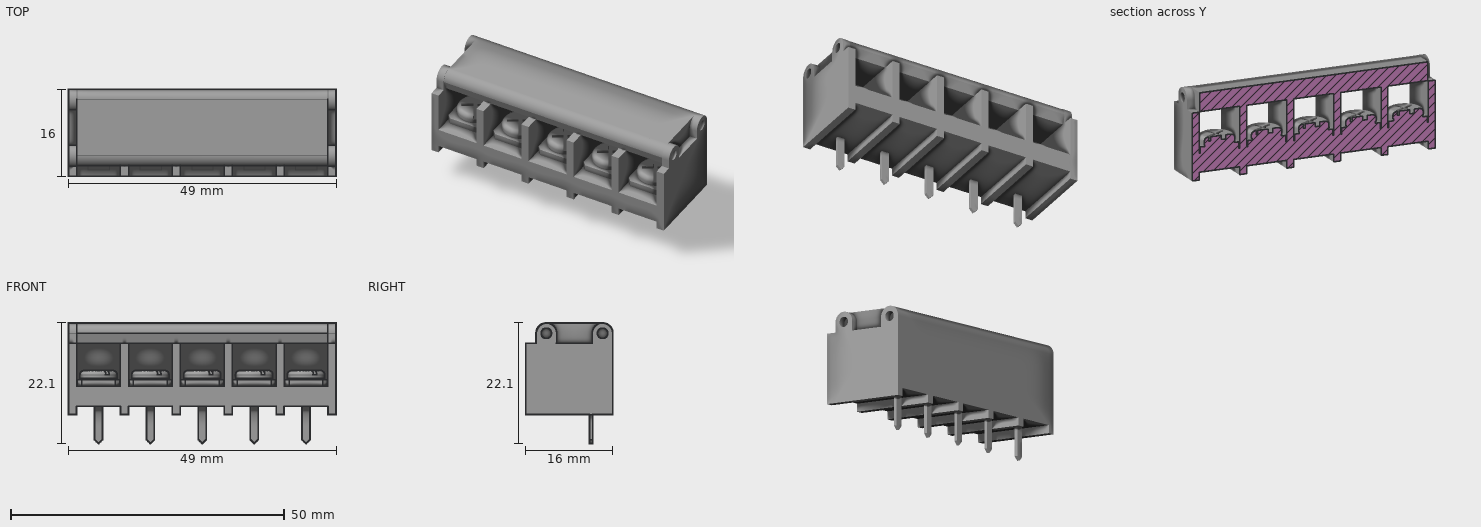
import cadquery as cq
import math


POLE_COUNT = 5
PITCH = 9.5
WALL = 1.5
CELL_WIDTH = PITCH - WALL
LENGTH = POLE_COUNT * PITCH + WALL
POLE_CENTRES = [(i - (POLE_COUNT - 1) / 2) * PITCH for i in range(POLE_COUNT)]

DEPTH = 16.0
HEIGHT = 16.8
FOOT_HEIGHT = 1.5
FLOOR_Z = 5.2
SHOULDER_Z = 13.1
CELL_BACK_Y = 10.5

EAR_RADIUS = 1.9
EAR_HOLE_DIAMETER = 1.9
FRONT_EAR_SETBACK = 1.9
COVER_SETBACK = 2.0
COVER_SLOPE_RUN = 0.65
EAR_CENTRE_Z = HEIGHT - EAR_RADIUS
FRONT_EAR_Y = FRONT_EAR_SETBACK + EAR_RADIUS
BACK_EAR_Y = DEPTH - EAR_RADIUS
COVER_LENGTH = LENGTH - 2 * WALL

PLATE_SIZE = 7.8
PLATE_THICKNESS = 1.2
PLATE_CHAMFER = 0.8
PLATE_TOP_Z = FLOOR_Z + PLATE_THICKNESS
SCREW_Y = CELL_BACK_Y - PLATE_SIZE / 2

HEAD_DIAMETER = 6.84
COLLAR_DIAMETER = 6.6
COLLAR_HEIGHT = 0.25
HEAD_HEIGHT = 1.45
HEAD_FILLET = 0.8
SLOT_WIDTH = 0.7
SLOT_DEPTH = 0.8
CROSS_SLOT_LENGTH = 5.0
SLOT_ANGLE = 29.0

BAR_WIDTH = 3.9
BAR_FRONT_Y = 1.2
BAR_THICKNESS = 1.0

PIN_WIDTH = 1.5
PIN_THICKNESS = 0.6
PIN_DROP = 5.3
PIN_TIP_HEIGHT = PIN_WIDTH / 2
PIN_BACK_OFFSET = 4.0
PIN_Y = DEPTH - PIN_BACK_OFFSET


def box(x_centre, width, y_min, y_max, z_min, z_max):
    """Box centred on x_centre and spanning the given Y and Z ranges."""
    size = (width, y_max - y_min, z_max - z_min)
    return cq.Workplane("XY").box(*size, centered=(True, False, False)).translate((x_centre, y_min, z_min))


def make_base():
    """Housing up to the shoulder, with open cells and feet under the walls."""
    base = box(0, LENGTH, 0, DEPTH, 0, SHOULDER_Z)
    for x in POLE_CENTRES:
        base = base.cut(box(x, CELL_WIDTH, 0, CELL_BACK_Y, FLOOR_Z, SHOULDER_Z))
        base = base.cut(box(x, CELL_WIDTH, 0, DEPTH, 0, FOOT_HEIGHT))
    return base


def make_cover():
    """Cover with rounded top edges and a front face that slopes back below the rounding."""
    corner = EAR_RADIUS * math.sqrt(0.5)
    front_arc_y = COVER_SETBACK + EAR_RADIUS
    return (
        cq.Workplane("YZ", origin=(-COVER_LENGTH / 2, 0, 0))
        .moveTo(DEPTH, SHOULDER_Z)
        .lineTo(DEPTH, EAR_CENTRE_Z)
        .threePointArc((BACK_EAR_Y + corner, EAR_CENTRE_Z + corner), (BACK_EAR_Y, HEIGHT))
        .lineTo(front_arc_y, HEIGHT)
        .threePointArc((front_arc_y - corner, EAR_CENTRE_Z + corner), (COVER_SETBACK, EAR_CENTRE_Z))
        .lineTo(COVER_SETBACK + COVER_SLOPE_RUN, SHOULDER_Z)
        .close()
        .extrude(COVER_LENGTH)
    )


def make_ear(x, y):
    """Round-topped ear with a cross hole, standing on an end wall."""
    post = box(x, WALL, y - EAR_RADIUS, y + EAR_RADIUS, SHOULDER_Z, EAR_CENTRE_Z)
    axis = cq.Workplane("YZ", origin=(x - WALL / 2, y, EAR_CENTRE_Z))
    crown = axis.circle(EAR_RADIUS).extrude(WALL)
    hole = axis.circle(EAR_HOLE_DIAMETER / 2).extrude(WALL)
    return post.union(crown).cut(hole)


def make_plate(x):
    """Square clamping plate with chamfered corners."""
    plate = box(x, PLATE_SIZE, CELL_BACK_Y - PLATE_SIZE, CELL_BACK_Y, FLOOR_Z, PLATE_TOP_Z)
    return plate.edges("|Z").chamfer(PLATE_CHAMFER)


def make_screw(x):
    """Round-rimmed screw head on a narrower collar, with a full slot and a shorter one across it."""
    collar = cq.Workplane("XY").circle(COLLAR_DIAMETER / 2).extrude(COLLAR_HEIGHT)
    head = cq.Workplane("XY").circle(HEAD_DIAMETER / 2).extrude(HEAD_HEIGHT)
    head = head.faces(">Z").edges().fillet(HEAD_FILLET).translate((0, 0, COLLAR_HEIGHT))
    head_top = COLLAR_HEIGHT + HEAD_HEIGHT
    slots = cq.Workplane("XY").box(SLOT_WIDTH, HEAD_DIAMETER, 2 * SLOT_DEPTH)
    slots = slots.union(cq.Workplane("XY").box(CROSS_SLOT_LENGTH, SLOT_WIDTH, 2 * SLOT_DEPTH))
    slots = slots.rotate((0, 0, 0), (0, 0, 1), SLOT_ANGLE).translate((0, 0, head_top))
    screw = collar.union(head).cut(slots)
    return screw.translate((x, SCREW_Y, PLATE_TOP_Z))


def make_contact_bar(x):
    """Contact bar whose top is level with the cell floor."""
    return box(x, BAR_WIDTH, BAR_FRONT_Y, CELL_BACK_Y, FLOOR_Z - BAR_THICKNESS, FLOOR_Z)


def make_pin(x):
    """Flat solder pin with a pointed tip, hanging from the underside between the feet."""
    half_width = PIN_WIDTH / 2
    return (
        cq.Workplane("XZ")
        .moveTo(-half_width, FOOT_HEIGHT)
        .lineTo(half_width, FOOT_HEIGHT)
        .lineTo(half_width, PIN_TIP_HEIGHT - PIN_DROP)
        .lineTo(0, -PIN_DROP)
        .lineTo(-half_width, PIN_TIP_HEIGHT - PIN_DROP)
        .close()
        .extrude(PIN_THICKNESS / 2, both=True)
        .translate((x, PIN_Y, 0))
    )


housing = make_base()
for end_x in (-(LENGTH - WALL) / 2, (LENGTH - WALL) / 2):
    for ear_y in (FRONT_EAR_Y, BACK_EAR_Y):
        housing = housing.union(make_ear(end_x, ear_y))

result = housing.union(make_cover(), clean=False)
for pole_x in POLE_CENTRES:
    for make_fitting in (make_contact_bar, make_plate, make_screw, make_pin):
        result = result.union(make_fitting(pole_x), clean=False)